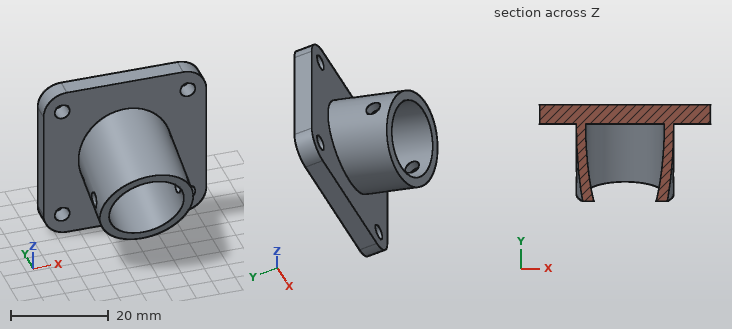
import cadquery as cq
import math

plate_width = 35.0
plate_height = 34.0
plate_thickness = 4.0
corner_radius = 5.0

hole_diameter = 3.2
hole_spacing_x = 27.0
hole_spacing_z = 25.0

tube_outer_diameter = 20.0
tube_inner_diameter = 16.0
tube_length = 15.0
tube_tilt = 18.0
cross_hole_distance = 10.8

tilt = math.radians(tube_tilt)
tube_direction = cq.Vector(0, -math.cos(tilt), -math.sin(tilt))
tube_plane = cq.Plane(origin=(0, 0, 0), xDir=(1, 0, 0), normal=tube_direction.toTuple())


def make_plate():
    """Rounded plate with a screw hole at each corner."""
    return (
        cq.Workplane("XZ")
        .rect(plate_width, plate_height)
        .extrude(-plate_thickness)
        .edges("|Y")
        .fillet(corner_radius)
        .faces("<Y")
        .workplane(centerOption="CenterOfBoundBox")
        .rect(hole_spacing_x, hole_spacing_z, forConstruction=True)
        .vertices()
        .hole(hole_diameter)
    )


def tilted_cylinder(diameter):
    """Cylinder on the tube axis, reaching back past the plate's front face."""
    return cq.Workplane(tube_plane).circle(diameter / 2).extrude(tube_length).union(
        cq.Workplane(tube_plane).circle(diameter / 2).extrude(-tube_length)
    )


def make_tube():
    """Tilted tube trimmed flush with the front face, with a cross hole along X."""
    tube = tilted_cylinder(tube_outer_diameter).cut(tilted_cylinder(tube_inner_diameter))
    trim_size = 4 * tube_length
    space_behind_face = cq.Workplane("XZ").rect(trim_size, trim_size).extrude(-trim_size)
    cross_hole_center = tube_direction * cross_hole_distance
    cross_hole = (
        cq.Workplane("YZ", origin=cross_hole_center.toTuple())
        .circle(hole_diameter / 2)
        .extrude(tube_outer_diameter, both=True)
    )
    return tube.cut(space_behind_face).cut(cross_hole)


result = make_plate().union(make_tube())